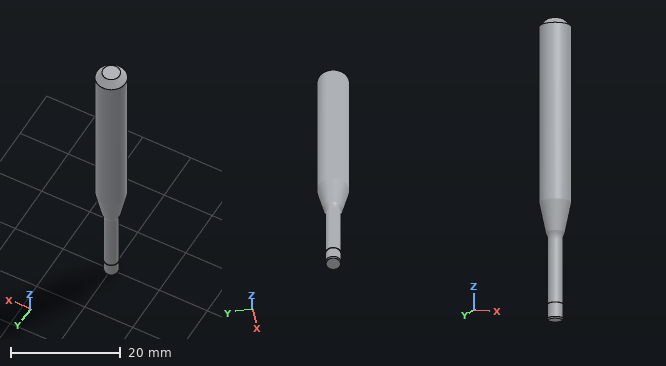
import cadquery as cq
import math

total_length = 57.0
shank_diameter = 6.0
shank_radius = shank_diameter / 2
shank_start = 22.25
shank_chamfer = 1.3
tip_radius = 1.5
tip_length = 3.0
tip_chamfer = 0.3
tip_chamfer_width = 0.15
neck_radius = 1.4
neck_end = 15.05
flare_height = 1.5
flare_radius = 3.0


def flare_offset(height):
    """Radial growth of the flare at a height above the neck end."""
    return flare_radius - math.sqrt(flare_radius**2 - height**2)


def revolve_profile(profile):
    """Turn a closed (radius, height) profile around the Z axis."""
    return profile.close().revolve(360, (0, 0, 0), (0, 1, 0))


def make_holder():
    """Neck, concave flare, cone and chamfered shank."""
    flare_middle = flare_height / 2
    profile = (
        cq.Workplane("XZ")
        .moveTo(0, tip_length)
        .lineTo(neck_radius, tip_length)
        .lineTo(neck_radius, neck_end)
        .threePointArc(
            (neck_radius + flare_offset(flare_middle), neck_end + flare_middle),
            (neck_radius + flare_offset(flare_height), neck_end + flare_height),
        )
        .lineTo(shank_radius, shank_start)
        .lineTo(shank_radius, total_length - shank_chamfer)
        .lineTo(shank_radius - shank_chamfer, total_length)
        .lineTo(0, total_length)
    )
    return revolve_profile(profile)


def make_tip():
    """Cylindrical tip with a bevelled lower edge, butted against the neck."""
    profile = (
        cq.Workplane("XZ")
        .lineTo(tip_radius - tip_chamfer_width, 0)
        .lineTo(tip_radius, tip_chamfer)
        .lineTo(tip_radius, tip_length)
        .lineTo(0, tip_length)
    )
    return revolve_profile(profile)


holder = make_holder()
tip = make_tip()

result = cq.Compound.makeCompound([holder.val(), tip.val()])